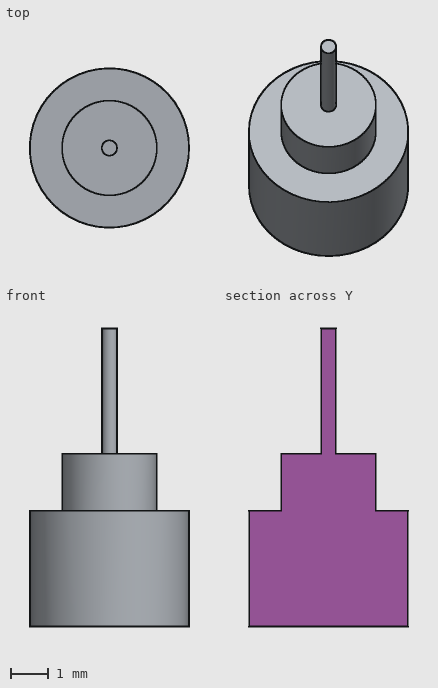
import cadquery as cq

total_height = 7.85
body_diameter = 4.2
body_height = 3.05
neck_diameter = 2.5
neck_height = 1.5
pin_diameter = 0.4
pin_height = total_height - body_height - neck_height


def stack_cylinder(base, diameter, height):
    """Add a coaxial cylinder on the top face of the base."""
    return base.faces(">Z").workplane().circle(diameter / 2).extrude(height)


body = cq.Workplane("XY").circle(body_diameter / 2).extrude(body_height)

body_with_neck = stack_cylinder(body, neck_diameter, neck_height)
result = stack_cylinder(body_with_neck, pin_diameter, pin_height)